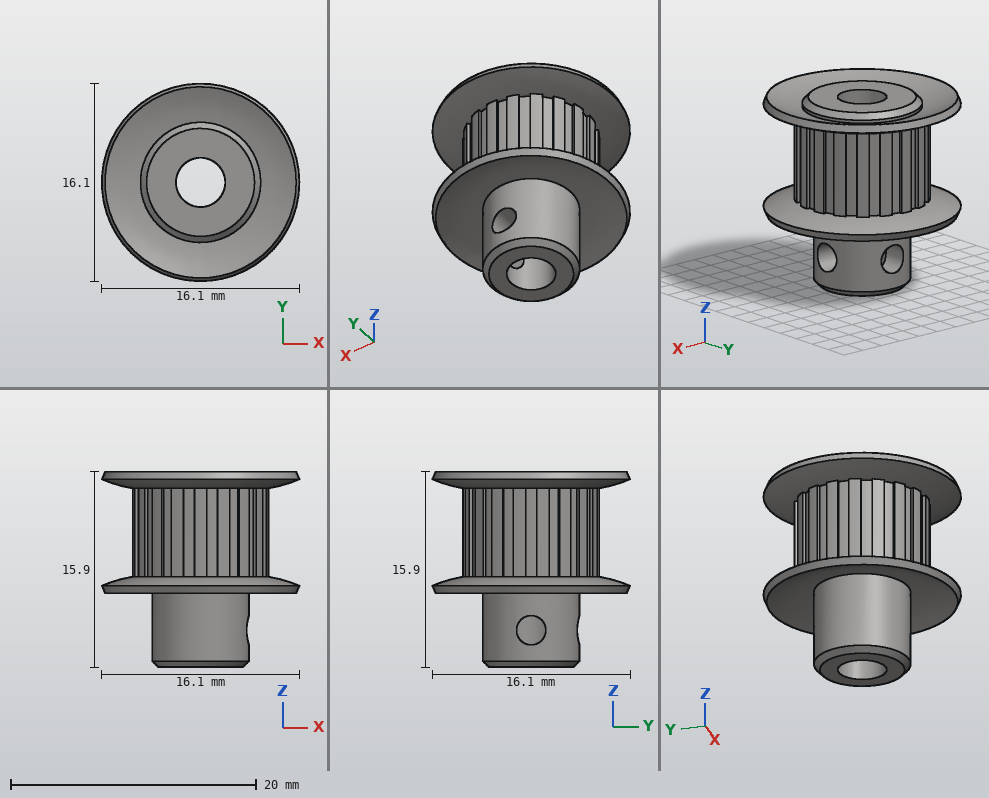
import cadquery as cq
import math

total_height = 15.9
hub_length = 6.0
hub_radius = 3.95
bore_radius = 2.0
edge_chamfer = 0.5

tooth_count = 18
tip_radius = 5.55
root_radius = 5.25
groove_width = 0.92

rim_radius = 8.05
flange_thickness = 0.68
flange_inner_arc = 10.63
rim_tilt = 23.5

boss_radius = 4.9

screw_hole_radius = 1.19
screw_hole_height = hub_length / 2

flange_outer_arc = flange_inner_arc - flange_thickness
arc_center_radius = rim_radius - flange_inner_arc * math.sin(math.radians(rim_tilt))
arc_center_offset = flange_outer_arc * math.cos(math.radians(rim_tilt))
middle_height = (hub_length + total_height) / 2


def tilt_at(radius, arc_radius):
    """Slope angle of a flange arc where it reaches the given radius."""
    return math.degrees(math.asin((radius - arc_center_radius) / arc_radius))


def flange_point(arc_radius, tilt):
    """Point (radius, z) on an upper flange arc at the given slope angle."""
    angle = math.radians(tilt)
    radius = arc_center_radius + arc_radius * math.sin(angle)
    height = total_height + arc_center_offset - arc_radius * math.cos(angle)
    return (radius, height)


def mirrored(point):
    """Matching point on the lower flange."""
    return (point[0], 2 * middle_height - point[1])


def make_body():
    """Hub, both flanges, the drum below the teeth and the boss, as one revolution."""
    boss_tilt = tilt_at(boss_radius, flange_outer_arc)
    hub_tilt = tilt_at(hub_radius, flange_outer_arc)
    tip_tilt = tilt_at(tip_radius, flange_inner_arc)

    rim_outer = flange_point(flange_outer_arc, rim_tilt)
    rim_inner = flange_point(flange_inner_arc, rim_tilt)
    inner_middle = flange_point(flange_inner_arc, (rim_tilt + tip_tilt) / 2)
    inner_end = flange_point(flange_inner_arc, tip_tilt)
    inner_root = (root_radius, inner_end[1])
    hub_end = flange_point(flange_outer_arc, hub_tilt)
    hub_side_middle = flange_point(flange_outer_arc, (rim_tilt + hub_tilt) / 2)
    boss_foot = flange_point(flange_outer_arc, boss_tilt)
    boss_side_middle = flange_point(flange_outer_arc, (rim_tilt + boss_tilt) / 2)

    profile = (
        cq.Workplane("XZ")
        .moveTo(bore_radius, 0)
        .lineTo(hub_radius - edge_chamfer, 0)
        .lineTo(hub_radius, edge_chamfer)
        .lineTo(*mirrored(hub_end))
        .threePointArc(mirrored(hub_side_middle), mirrored(rim_outer))
        .lineTo(*mirrored(rim_inner))
        .threePointArc(mirrored(inner_middle), mirrored(inner_end))
        .lineTo(*mirrored(inner_root))
        .lineTo(*inner_root)
        .lineTo(*inner_end)
        .threePointArc(inner_middle, rim_inner)
        .lineTo(*rim_outer)
        .threePointArc(boss_side_middle, boss_foot)
        .lineTo(boss_radius, total_height - edge_chamfer)
        .lineTo(boss_radius - edge_chamfer, total_height)
        .lineTo(bore_radius, total_height)
        .close()
    )
    return profile.revolve(360, (0, 0, 0), (0, 1, 0))


def make_teeth():
    """Ring of straight-sided teeth whose ends are buried in the flanges."""
    sheet_middle_arc = (flange_inner_arc + flange_outer_arc) / 2
    ring_tilt = tilt_at(tip_radius, sheet_middle_arc)
    ring_top = flange_point(sheet_middle_arc, ring_tilt)[1]
    ring_length = 2 * (ring_top - middle_height)
    core_radius = (root_radius + bore_radius) / 2

    ring = (
        cq.Workplane("XY", origin=(0, 0, middle_height - ring_length / 2))
        .circle(tip_radius)
        .circle(core_radius)
        .extrude(ring_length)
    )
    grooves = (
        cq.Workplane("XY", origin=(0, 0, middle_height))
        .polarArray(tip_radius, 0, 360, tooth_count)
        .rect(2 * (tip_radius - core_radius), groove_width)
        .extrude(ring_length, both=True)
    )
    return ring.cut(grooves)


def make_screw_hole(direction):
    """Radial drill from the bore axis out through the hub wall."""
    axis_point = cq.Vector(0, 0, screw_hole_height)
    drill = cq.Solid.makeCylinder(screw_hole_radius, rim_radius, axis_point, cq.Vector(*direction))
    return cq.Workplane(obj=drill)


result = make_body().union(make_teeth())
for hole_direction in [(1, 0, 0), (0, 1, 0)]:
    result = result.cut(make_screw_hole(hole_direction))